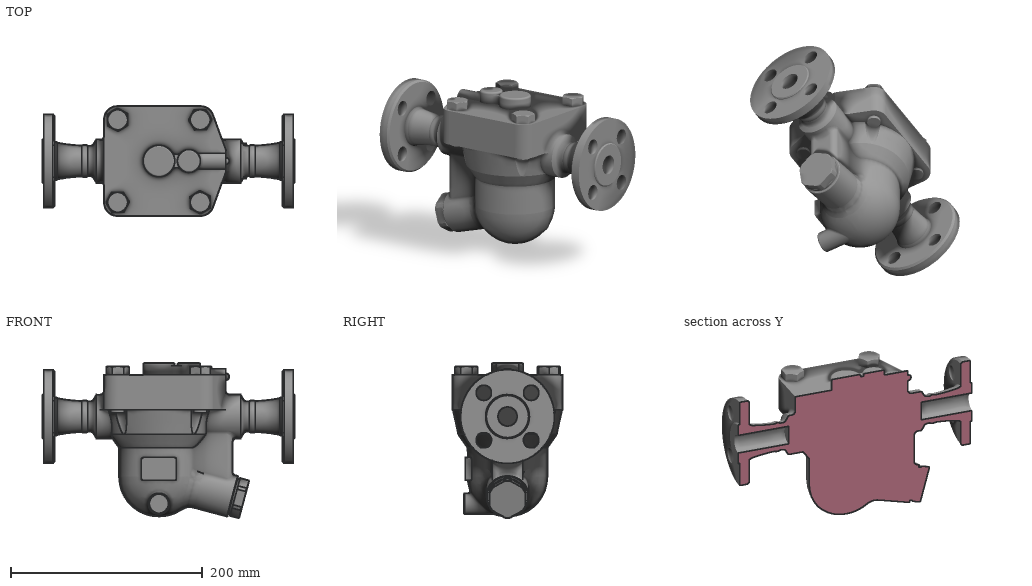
import cadquery as cq
import math


FACE_TO_FACE = 264.0
PIPE_MID_X = 10.0
HALF_LENGTH = FACE_TO_FACE / 2
FLANGE_DIA = 98.0
FLANGE_THICKNESS = 11.3
FLANGE_CHAMFER = 2.0
RAISED_FACE_DIA = 46.0
RAISED_FACE_HEIGHT = 1.7
RAISED_FACE_CHAMFER = 1.0
FLANGE_BOLT_HOLE_DIA = 16.0
FLANGE_BOLT_CIRCLE = 69.9
FLANGE_BOLT_COUNT = 4
BORE_DIA = 20.0
HUB_ROOT_RADIUS = 20.8
HUB_START_RADIUS = 19.2
HUB_FILLET_LENGTH = 3.0
HUB_END_RADIUS = 16.3
HUB_SAG = 0.5
HUB_END = 90.6
BEAD_RADIUS = 17.0
BEAD_END = 84.3
TUBE_RADIUS = 16.0
TUBE_END = 79.2
TUBE_FILLET = 4.0
PORT_RADIUS = 23.0
PORT_END = 75.2
PORT_FILLET = 4.0

COVER_WIDTH = 115.0
COVER_TOP = 43.6
COVER_BOTTOM = 27.0
BODY_FLANGE_BOTTOM = 7.2
COVER_END_X = 69.8
COVER_TAPER_ANGLE = 20.0
BOLT_PITCH = 43.1
BOLT_DIA = 14.0
BOLT_STUB = 3.3
BOLT_HEAD_FLATS = 21.0
BOLT_HEAD_HEIGHT = 8.9
BOLT_HEAD_TURN = 2.0
BOLT_HEAD_RIM_DIA = 20.8
BOLT_HEAD_CONE_ANGLE = 30.0
BOLT_POCKET_RADIUS = 9.4

BOSS_TOP = 56.0
BOSS_FILLET = 2.0
MAIN_BOSS_RADIUS = 16.5
SIDE_BOSS_RADIUS = 12.0
SIDE_BOSS_X = 31.3
WEB_TOP = 53.2
WEB_FILLET = 6.5
CHANNEL_RADIUS = 8.6
CHANNEL_AXIS_Z = 41.5
BALL_RADIUS = 3.6

NECK_TOP_RADIUS = 57.3
NECK_BOTTOM_RADIUS = 51.5
NECK_BOTTOM = -18.7
POT_RADIUS = 41.8
SHOULDER_BOTTOM = -32.4
DOME_CENTER_Z = -62.7

PAD_WIDTH = 36.6
PAD_TOP = -42.8
PAD_BOTTOM = -66.8
PAD_FACE_Y = -44.2
PAD_CORNER = 2.0

DRAIN_DIA = 22.0
DRAIN_Z = -91.0
DRAIN_FACE_Y = -45.7
DRAIN_CHAMFER = 1.0
DRAIN_FILLET = 2.0

BRANCH_TILT = 15.0
BRANCH_RADIUS = 22.0
BRANCH_LENGTH = 79.9
BRANCH_FILLET = 16.0
BRANCH_CHAMFER = 0.6
PLUG_SHANK_RADIUS = 19.2
PLUG_HEX_START = 82.3
PLUG_HEX_END = 92.2
PLUG_FLATS = 37.4
PLUG_TURNED_RADIUS = 20.5
PLUG_CHAMFER = 0.7

RIB_HALF_WIDTH = 16.0
RIB_START_X = 20.0
RIB_END_X = 77.0
RIB_CORNER = 6.3
RIB_SINK = 8.0
RIB_BLEND = 15.5
RIB_PORT_FILLET = 4.0
RIB_BRANCH_FILLET = 3.0

MARGIN = 1.0


def cylinder_z(radius, bottom, top, x=0.0, y=0.0):
    return cq.Workplane("XY", origin=(x, y, bottom)).circle(radius).extrude(top - bottom)


def box_selector(x_span, half_y, z_span):
    """Select edges whose middle lies in a box symmetric about Y = 0."""
    return cq.selectors.BoxSelector((x_span[0], -half_y, z_span[0]), (x_span[1], half_y, z_span[1]))


def hex_bar(flats, height):
    """Hexagonal prism standing on XY with two corners on the X axis."""
    return cq.Workplane("XY").polygon(6, 2 * flats / math.sqrt(3)).extrude(height)


def bolt_head():
    """Hexagon head whose top rim is coned down to a circle."""
    corner_radius = BOLT_HEAD_FLATS / math.sqrt(3)
    rim_radius = BOLT_HEAD_RIM_DIA / 2
    shoulder = BOLT_HEAD_HEIGHT - (corner_radius - rim_radius) * math.tan(math.radians(BOLT_HEAD_CONE_ANGLE))
    envelope = (
        cq.Workplane("XZ")
        .moveTo(0, 0)
        .lineTo(corner_radius, 0)
        .lineTo(corner_radius, shoulder)
        .lineTo(rim_radius, BOLT_HEAD_HEIGHT)
        .lineTo(0, BOLT_HEAD_HEIGHT)
        .close()
        .revolve(360, (0, 0, 0), (0, 1, 0))
    )
    return hex_bar(BOLT_HEAD_FLATS, BOLT_HEAD_HEIGHT).intersect(envelope)


def pipe_half():
    """Port, tube, weld neck and flange on the +X side of the pipe mid-plane."""
    flange_back = HALF_LENGTH - RAISED_FACE_HEIGHT - FLANGE_THICKNESS
    flange_front = HALF_LENGTH - RAISED_FACE_HEIGHT
    hub_start = flange_back - HUB_FILLET_LENGTH
    hub_mid = ((hub_start + HUB_END) / 2, (HUB_START_RADIUS + HUB_END_RADIUS) / 2 - HUB_SAG)
    bead_mid = ((HUB_END + BEAD_END) / 2, BEAD_RADIUS)
    flange_radius = FLANGE_DIA / 2
    face_radius = RAISED_FACE_DIA / 2
    half = (
        cq.Workplane("XY")
        .moveTo(0, 0)
        .lineTo(0, PORT_RADIUS)
        .lineTo(PORT_END, PORT_RADIUS)
        .lineTo(TUBE_END, TUBE_RADIUS)
        .lineTo(BEAD_END, TUBE_RADIUS)
        .threePointArc(bead_mid, (HUB_END, HUB_END_RADIUS))
        .threePointArc(hub_mid, (hub_start, HUB_START_RADIUS))
        .lineTo(flange_back, HUB_ROOT_RADIUS)
        .lineTo(flange_back, flange_radius - FLANGE_CHAMFER)
        .lineTo(flange_back + FLANGE_CHAMFER, flange_radius)
        .lineTo(flange_front, flange_radius)
        .lineTo(flange_front, face_radius)
        .lineTo(HALF_LENGTH - RAISED_FACE_CHAMFER, face_radius)
        .lineTo(HALF_LENGTH, face_radius - RAISED_FACE_CHAMFER)
        .lineTo(HALF_LENGTH, 0)
        .close()
        .revolve(360, (0, 0, 0), (1, 0, 0))
    )
    tube_root = box_selector((TUBE_END - MARGIN, TUBE_END + MARGIN), PORT_RADIUS, (-PORT_RADIUS, PORT_RADIUS))
    half = half.edges(tube_root).fillet(TUBE_FILLET)
    bolt_holes = (
        cq.Workplane("YZ", origin=(flange_back, 0, 0))
        .polarArray(FLANGE_BOLT_CIRCLE / 2, 180 / FLANGE_BOLT_COUNT, 360, FLANGE_BOLT_COUNT)
        .circle(FLANGE_BOLT_HOLE_DIA / 2)
        .extrude(FLANGE_THICKNESS)
    )
    return half.cut(bolt_holes)


def pipe_run():
    half = pipe_half()
    return half.union(half.mirror("YZ")).translate((PIPE_MID_X, 0, 0))


def port_bores():
    """Blind bore in each flange, as deep as the tube."""
    bore = cq.Workplane("YZ", origin=(PORT_END, 0, 0)).circle(BORE_DIA / 2).extrude(HALF_LENGTH - PORT_END)
    return bore.union(bore.mirror("YZ")).translate((PIPE_MID_X, 0, 0))


def plate(bottom, top):
    """Square plate with corners concentric to the bolts and a tapered +X end."""
    half_width = COVER_WIDTH / 2
    corner = half_width - BOLT_PITCH
    taper = math.radians(COVER_TAPER_ANGLE)
    taper_x = BOLT_PITCH + corner * math.cos(taper)
    taper_y = BOLT_PITCH + corner * math.sin(taper)
    arc_mid = (math.pi / 2 + taper) / 2
    arc_x = BOLT_PITCH + corner * math.cos(arc_mid)
    arc_y = BOLT_PITCH + corner * math.sin(arc_mid)
    end_y = taper_y - (COVER_END_X - taper_x) / math.tan(taper)
    square_arc = BOLT_PITCH + corner * math.sqrt(0.5)
    return (
        cq.Workplane("XY", origin=(0, 0, bottom))
        .moveTo(-BOLT_PITCH, half_width)
        .lineTo(BOLT_PITCH, half_width)
        .threePointArc((arc_x, arc_y), (taper_x, taper_y))
        .lineTo(COVER_END_X, end_y)
        .lineTo(COVER_END_X, -end_y)
        .lineTo(taper_x, -taper_y)
        .threePointArc((arc_x, -arc_y), (BOLT_PITCH, -half_width))
        .lineTo(-BOLT_PITCH, -half_width)
        .threePointArc((-square_arc, -square_arc), (-half_width, -BOLT_PITCH))
        .lineTo(-half_width, BOLT_PITCH)
        .threePointArc((-square_arc, square_arc), (-BOLT_PITCH, half_width))
        .close()
        .extrude(top - bottom)
    )


def pot():
    dome_mid = POT_RADIUS * math.sqrt(0.5)
    body = (
        cq.Workplane("XZ")
        .moveTo(0, BODY_FLANGE_BOTTOM)
        .lineTo(NECK_TOP_RADIUS, BODY_FLANGE_BOTTOM)
        .lineTo(NECK_BOTTOM_RADIUS, NECK_BOTTOM)
        .lineTo(POT_RADIUS, SHOULDER_BOTTOM)
        .lineTo(POT_RADIUS, DOME_CENTER_Z)
        .threePointArc((dome_mid, DOME_CENTER_Z - dome_mid), (0, DOME_CENTER_Z - POT_RADIUS))
        .close()
        .revolve(360, (0, 0, 0), (0, 1, 0))
    )
    for x, y, _ in bolt_places():
        body = body.cut(cylinder_z(BOLT_POCKET_RADIUS, NECK_BOTTOM, BODY_FLANGE_BOTTOM, x, y))
    return body


def drain_boss():
    return (
        cq.Workplane("XZ", origin=(0, 0, DRAIN_Z))
        .circle(DRAIN_DIA / 2)
        .extrude(-DRAIN_FACE_Y)
        .faces("<Y")
        .chamfer(DRAIN_CHAMFER)
    )


def name_pad():
    return (
        cq.Workplane("XZ", origin=(0, 0, (PAD_TOP + PAD_BOTTOM) / 2))
        .rect(PAD_WIDTH, PAD_TOP - PAD_BOTTOM)
        .extrude(-PAD_FACE_Y)
        .edges("|Y")
        .fillet(PAD_CORNER)
    )


def bolt_places():
    """Bolt positions with the turn of each head, a quarter turn from one to the next."""
    corners = [(-1, -1), (1, -1), (1, 1), (-1, 1)]
    return [(sx * BOLT_PITCH, sy * BOLT_PITCH, BOLT_HEAD_TURN + 90 * i) for i, (sx, sy) in enumerate(corners)]


def bolt(x, y, turn):
    """Bolt with its head on the cover and its end just through the body flange."""
    shank = cylinder_z(BOLT_DIA / 2, BODY_FLANGE_BOTTOM - BOLT_STUB - COVER_TOP, 0)
    return bolt_head().union(shank).rotate((0, 0, 0), (0, 0, 1), turn).translate((x, y, COVER_TOP))


def cover_web():
    """Concave-sided web between the two round bosses."""
    main_reach = MAIN_BOSS_RADIUS + WEB_FILLET
    side_reach = SIDE_BOSS_RADIUS + WEB_FILLET
    arc_x = (SIDE_BOSS_X**2 + main_reach**2 - side_reach**2) / (2 * SIDE_BOSS_X)
    arc_y = math.sqrt(main_reach**2 - arc_x**2)
    main_x = arc_x * MAIN_BOSS_RADIUS / main_reach
    main_y = arc_y * MAIN_BOSS_RADIUS / main_reach
    side_x = SIDE_BOSS_X + (arc_x - SIDE_BOSS_X) * SIDE_BOSS_RADIUS / side_reach
    side_y = arc_y * SIDE_BOSS_RADIUS / side_reach
    waist_y = arc_y - WEB_FILLET
    return (
        cq.Workplane("XY", origin=(0, 0, COVER_TOP))
        .moveTo(main_x, main_y)
        .threePointArc((arc_x, waist_y), (side_x, side_y))
        .lineTo(side_x, -side_y)
        .threePointArc((arc_x, -waist_y), (main_x, -main_y))
        .close()
        .extrude(WEB_TOP - COVER_TOP)
    )


def round_boss(radius, x):
    boss = cylinder_z(radius, COVER_BOTTOM, BOSS_TOP, x)
    return boss.faces(">Z").edges().fillet(BOSS_FILLET)


def cover_bosses():
    main = round_boss(MAIN_BOSS_RADIUS, 0)
    side = round_boss(SIDE_BOSS_RADIUS, SIDE_BOSS_X)
    channel = (
        cq.Workplane("YZ", origin=(SIDE_BOSS_X, 0, CHANNEL_AXIS_Z))
        .circle(CHANNEL_RADIUS)
        .extrude(COVER_END_X - SIDE_BOSS_X)
    )
    ball = cq.Workplane("XY", origin=(COVER_END_X, 0, CHANNEL_AXIS_Z)).sphere(BALL_RADIUS)
    return main.union(side).union(cover_web()).union(channel).union(ball)


def branch_frame(shape):
    """Move a shape built up the Z axis onto the tilted branch axis."""
    return shape.rotate((0, 0, 0), (0, 1, 0), 90 + BRANCH_TILT).translate((0, 0, DOME_CENTER_Z))


def branch_stem():
    stem = cylinder_z(BRANCH_RADIUS, 0, BRANCH_LENGTH).faces(">Z").chamfer(BRANCH_CHAMFER)
    return branch_frame(stem)


def strainer_plug():
    shank = cylinder_z(PLUG_SHANK_RADIUS, 0, PLUG_HEX_START)
    head_height = PLUG_HEX_END - PLUG_HEX_START
    turned = cylinder_z(PLUG_TURNED_RADIUS, 0, head_height).faces(">Z").chamfer(PLUG_CHAMFER)
    head = hex_bar(PLUG_FLATS, head_height).intersect(turned)
    return branch_frame(shank.union(head.translate((0, 0, PLUG_HEX_START))))


def pot_with_drain():
    joined = pot().union(drain_boss())
    seam = cq.selectors.BoxSelector(
        (-DRAIN_DIA, DRAIN_FACE_Y + 2 * DRAIN_CHAMFER, DRAIN_Z - DRAIN_DIA),
        (DRAIN_DIA, -DRAIN_DIA / 2, DRAIN_Z + DRAIN_DIA),
    )
    return joined.edges(seam).edges("not %LINE").fillet(DRAIN_FILLET)


def pot_with_branch():
    joined = pot_with_drain().union(branch_stem())
    x_span = (POT_RADIUS / 2, NECK_BOTTOM_RADIUS)
    z_span = (DOME_CENTER_Z - POT_RADIUS, SHOULDER_BOTTOM)
    seam = box_selector(x_span, POT_RADIUS, z_span)
    return joined.edges(seam).fillet(BRANCH_FILLET)


def rib():
    """Upright rib between branch and outlet port, filleted where it meets each of them."""
    bottom = DOME_CENTER_Z - RIB_SINK
    bar = (
        cq.Workplane("XY", origin=((RIB_START_X + RIB_END_X) / 2, 0, bottom))
        .rect(RIB_END_X - RIB_START_X, 2 * RIB_HALF_WIDTH)
        .extrude(-bottom)
        .edges("|Z and >X")
        .fillet(RIB_CORNER)
    )
    port = cq.Workplane("YZ").circle(PORT_RADIUS).extrude(PIPE_MID_X + PORT_END)
    joined = bar.union(branch_stem()).union(port)
    span = (RIB_START_X - MARGIN, RIB_END_X + MARGIN)
    half_span = RIB_HALF_WIDTH + MARGIN
    port_seam = box_selector(span, half_span, (-PORT_RADIUS - MARGIN, -PORT_RADIUS / 2))
    branch_seam = box_selector(span, half_span, (bottom, DOME_CENTER_Z + RIB_HALF_WIDTH))
    return joined.edges(port_seam).fillet(RIB_PORT_FILLET).edges(branch_seam).fillet(RIB_BRANCH_FILLET)


def rib_blend():
    """Concave blend from the pot wall into both sides of the rib."""
    blend_y = RIB_HALF_WIDTH + RIB_BLEND
    blend_x = math.sqrt((POT_RADIUS + RIB_BLEND) ** 2 - blend_y**2)
    wall_scale = POT_RADIUS / (POT_RADIUS + RIB_BLEND)
    wall_x = blend_x * wall_scale
    wall_y = blend_y * wall_scale
    mid_angle = (math.atan2(wall_y - blend_y, wall_x - blend_x) - math.pi / 2) / 2
    mid_x = blend_x + RIB_BLEND * math.cos(mid_angle)
    mid_y = blend_y + RIB_BLEND * math.sin(mid_angle)
    bottom = DOME_CENTER_Z - RIB_SINK
    return (
        cq.Workplane("XY", origin=(0, 0, bottom))
        .moveTo(0, wall_y)
        .lineTo(wall_x, wall_y)
        .threePointArc((mid_x, mid_y), (blend_x, RIB_HALF_WIDTH))
        .lineTo(blend_x, -RIB_HALF_WIDTH)
        .threePointArc((mid_x, -mid_y), (wall_x, -wall_y))
        .lineTo(0, -wall_y)
        .close()
        .extrude(-bottom)
    )


def flange_with_ports():
    joined = plate(BODY_FLANGE_BOTTOM, COVER_TOP).union(pipe_run())
    x_span = (-COVER_WIDTH / 2 - MARGIN, COVER_END_X + MARGIN)
    z_span = (BODY_FLANGE_BOTTOM + MARGIN, PORT_RADIUS + MARGIN)
    seam = box_selector(x_span, PORT_RADIUS, z_span)
    return joined.edges(seam).fillet(PORT_FILLET)


result = flange_with_ports().union(pot_with_branch()).union(rib_blend()).union(rib())
result = result.union(strainer_plug()).union(name_pad()).union(cover_bosses())
for place in bolt_places():
    result = result.union(bolt(*place))
result = result.cut(port_bores())